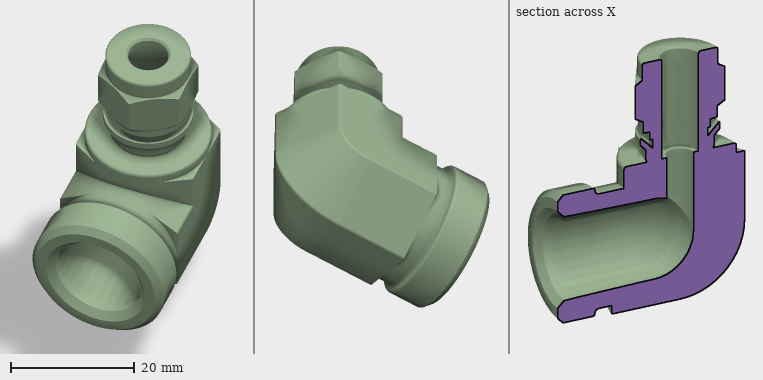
import cadquery as cq
import math

BODY_FLATS = 20.6
BODY_RADIUS = BODY_FLATS / 2
BODY_EDGE_ROUND = 0.53
HEX_ARM_TOP = 12.35
HEX_ARM_SIDE = 12.5
ROUND_ARM_TOP = 14.1
SHOULDER_ROUND = 0.53

COLLAR_RADIUS = 23.0 / 2
COLLAR_END = 22.4
COLLAR_CHAMFER = 1.05
COLLAR_BACK = 15.5
COLLAR_BACK_ROUND = 0.53
COLLAR_ROOT_ROUND = COLLAR_RADIUS - BODY_RADIUS - COLLAR_BACK_ROUND

SIDE_BORE_MOUTH_RADIUS = 17.35 / 2
SIDE_BORE_CONE_RADIUS = 14.95 / 2
SIDE_BORE_SPHERE_RADIUS = 14.3 / 2
SPHERE_TILT = -45

PASSAGE_RADIUS = 4.8 / 2
TUBE_RADIUS = 6.55 / 2
TUBE_MOUTH_CHAMFER = 0.35
TUBE_STOP = ROUND_ARM_TOP

STEM_RADIUS = 12.6 / 2
STEM_UNDERCUT = 0.2
STEM_UNDERCUT_HEIGHT = 0.4
FLANGE_RADIUS = 14.6 / 2
FLANGE_CONE_TOP = 17.25
FLANGE_TOP = 18.45
FLANGE_RIM = 0.2
NECK_RADIUS = 11.1 / 2
NECK_BOTTOM = 17.85
CORE_RADIUS = 10.1 / 2
NUT_BOTTOM = 19.3
NUT_SKIRT_RADIUS = 13.6 / 2
NUT_SKIRT_CHAMFER = 0.2
NUT_FLATS = 14.3
NUT_EDGE_ROUND = 0.25
NUT_HEX_BOTTOM = 21.35
NUT_HEX_TOP = 28.9
NUT_HEAD_RADIUS = 13.9 / 2
NUT_TOP = 31.95
NUT_TOP_ROUND = 0.45
NUT_CHAMFER_ANGLE = 30

HALF_SIDE_RATIO = math.tan(math.radians(30))


def turned(points):
    """Solid of revolution about Z from (radius, height) points."""
    return cq.Workplane("XZ").polyline(points).close().revolve(360, (0, 0, 0), (0, 1, 0))


def side_arm(solid):
    """Turn a solid built along +Z into the side arm's direction, -Y, keeping the bend's outside out."""
    return solid.rotate((0, 0, 0), (1, 0, 0), 90).mirror("XY")


def rounded_section(points, corners):
    """Closed section with the selected corners rounded."""
    return cq.Sketch().polygon(points + points[:1]).vertices(corners).fillet(BODY_EDGE_ROUND)


def outer_half_section():
    """Half hexagon on the outside of the bend."""
    half_side = BODY_RADIUS * HALF_SIDE_RATIO
    points = [
        (-BODY_RADIUS, 0),
        (BODY_RADIUS, 0),
        (BODY_RADIUS, half_side),
        (0, 2 * half_side),
        (-BODY_RADIUS, half_side),
    ]
    return rounded_section(points, "not <Y")


def inner_half_section():
    """Half hexagon on the inside of the bend, cut where its sloped flats touch the round arm."""
    half_side = BODY_RADIUS * HALF_SIDE_RATIO
    touch_x = BODY_RADIUS * math.sin(math.radians(30))
    touch_y = BODY_RADIUS * math.cos(math.radians(30))
    points = [
        (-BODY_RADIUS, 0),
        (BODY_RADIUS, 0),
        (BODY_RADIUS, -half_side),
        (touch_x, -touch_y),
        (-touch_x, -touch_y),
        (-BODY_RADIUS, -half_side),
    ]
    return rounded_section(points, "(>X or <X) and (not >Y)")


def hex_arm(length):
    outer = cq.Workplane("XY").placeSketch(outer_half_section()).extrude(length)
    inner = cq.Workplane("XY").placeSketch(inner_half_section()).extrude(length)
    return outer.union(inner)


def elbow():
    top_round = cq.Workplane("XY").circle(BODY_RADIUS).extrude(ROUND_ARM_TOP)
    top_round = top_round.faces(">Z").edges().fillet(SHOULDER_ROUND)
    bend = cq.Workplane("XY").placeSketch(outer_half_section()).revolve(90, (0, 0, 0), (-1, 0, 0))
    return (
        hex_arm(HEX_ARM_TOP)
        .union(top_round)
        .union(side_arm(hex_arm(HEX_ARM_SIDE)))
        .union(bend)
    )


def collar():
    """Round end of the side arm with its collar."""
    root = COLLAR_BACK - COLLAR_ROOT_ROUND
    diagonal = math.sqrt(0.5)
    root_middle = (
        BODY_RADIUS + COLLAR_ROOT_ROUND * (1 - diagonal),
        root + COLLAR_ROOT_ROUND * diagonal,
    )
    back_middle = (
        COLLAR_RADIUS - COLLAR_BACK_ROUND * (1 - diagonal),
        COLLAR_BACK + COLLAR_BACK_ROUND * (1 - diagonal),
    )
    profile = (
        cq.Workplane("XZ")
        .lineTo(BODY_RADIUS, 0)
        .lineTo(BODY_RADIUS, root)
        .threePointArc(root_middle, (BODY_RADIUS + COLLAR_ROOT_ROUND, COLLAR_BACK))
        .threePointArc(back_middle, (COLLAR_RADIUS, COLLAR_BACK + COLLAR_BACK_ROUND))
        .lineTo(COLLAR_RADIUS, COLLAR_END - COLLAR_CHAMFER)
        .lineTo(COLLAR_RADIUS - COLLAR_CHAMFER, COLLAR_END)
        .lineTo(0, COLLAR_END)
        .close()
    )
    return side_arm(profile.revolve(360, (0, 0, 0), (0, 1, 0)))


def stem():
    """Stem with the cupped flange and the neck that enters the nut."""
    root = HEX_ARM_TOP
    flange_cone_bottom = FLANGE_CONE_TOP - (FLANGE_RADIUS - STEM_RADIUS)
    recess_radius = FLANGE_RADIUS - FLANGE_RIM
    recess_bottom = FLANGE_TOP - (recess_radius - CORE_RADIUS)
    return turned([
        (0, root),
        (STEM_RADIUS - STEM_UNDERCUT, root),
        (STEM_RADIUS - STEM_UNDERCUT, ROUND_ARM_TOP),
        (STEM_RADIUS, ROUND_ARM_TOP + STEM_UNDERCUT_HEIGHT),
        (STEM_RADIUS, flange_cone_bottom),
        (FLANGE_RADIUS, FLANGE_CONE_TOP),
        (FLANGE_RADIUS, FLANGE_TOP),
        (recess_radius, FLANGE_TOP),
        (CORE_RADIUS, recess_bottom),
        (CORE_RADIUS, NECK_BOTTOM),
        (NECK_RADIUS, NECK_BOTTOM),
        (NECK_RADIUS, NUT_BOTTOM),
        (0, NUT_BOTTOM),
    ])


def nut():
    hexagon = (
        cq.Workplane("XY", origin=(0, 0, NUT_HEX_BOTTOM))
        .polygon(6, NUT_FLATS, circumscribed=True)
        .extrude(NUT_HEX_TOP - NUT_HEX_BOTTOM)
        .edges("|Z")
        .fillet(NUT_EDGE_ROUND)
    )
    slope = math.tan(math.radians(NUT_CHAMFER_ANGLE))
    blank_radius = NUT_FLATS * HALF_SIDE_RATIO
    blank = turned([
        (0, NUT_HEX_BOTTOM),
        (NUT_SKIRT_RADIUS, NUT_HEX_BOTTOM),
        (blank_radius, NUT_HEX_BOTTOM + (blank_radius - NUT_SKIRT_RADIUS) * slope),
        (blank_radius, NUT_HEX_TOP - (blank_radius - NUT_HEAD_RADIUS) * slope),
        (NUT_HEAD_RADIUS, NUT_HEX_TOP),
        (0, NUT_HEX_TOP),
    ])
    skirt = cq.Workplane("XY", origin=(0, 0, NUT_BOTTOM)).circle(NUT_SKIRT_RADIUS)
    skirt = skirt.extrude(NUT_HEX_BOTTOM - NUT_BOTTOM).faces("<Z").chamfer(NUT_SKIRT_CHAMFER)
    head = cq.Workplane("XY", origin=(0, 0, NUT_HEX_TOP)).circle(NUT_HEAD_RADIUS)
    head = head.extrude(NUT_TOP - NUT_HEX_TOP).faces(">Z").edges().fillet(NUT_TOP_ROUND)
    return hexagon.intersect(blank).union(skirt).union(head)


def side_bore():
    """Tapered bore whose spherical bottom just touches the far wall of the upper passage."""
    sphere_center = SIDE_BORE_SPHERE_RADIUS - PASSAGE_RADIUS
    cone_mouth = COLLAR_END - (SIDE_BORE_MOUTH_RADIUS - SIDE_BORE_CONE_RADIUS)
    cone = side_arm(turned([
        (0, sphere_center),
        (SIDE_BORE_SPHERE_RADIUS, sphere_center),
        (SIDE_BORE_CONE_RADIUS, cone_mouth),
        (SIDE_BORE_MOUTH_RADIUS, COLLAR_END),
        (0, COLLAR_END),
    ]))
    sphere = cq.Workplane("XY").sphere(SIDE_BORE_SPHERE_RADIUS)
    sphere = sphere.rotate((0, 0, 0), (1, 0, 0), SPHERE_TILT).translate((0, -sphere_center, 0))
    return cone.union(sphere)


def upper_bore():
    """Passage into the side bore and the wider tube socket above it."""
    return turned([
        (0, 0),
        (PASSAGE_RADIUS, 0),
        (PASSAGE_RADIUS, TUBE_STOP),
        (TUBE_RADIUS, TUBE_STOP),
        (TUBE_RADIUS, NUT_TOP - TUBE_MOUTH_CHAMFER),
        (TUBE_RADIUS + TUBE_MOUTH_CHAMFER, NUT_TOP),
        (0, NUT_TOP),
    ])


result = elbow().union(collar()).union(stem()).union(nut()).cut(upper_bore()).cut(side_bore())